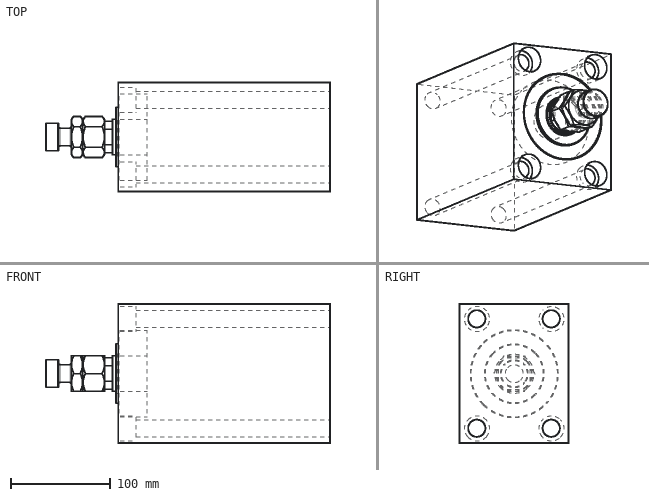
import cadquery as cq
import math

TOTAL_LENGTH = 286.0
WIDTH = 110.0
HEIGHT = 140.0

HEAD_END = 13.0
FRONT_HEX_START = 25.5
HEX_GROOVE = 37.2
ROD_FACE = 59.2
FLATS_END = 66.5
GLAND_FACE = 70.0
HOUSING_FACE = 72.6

BORE_CHAMFER = 1.0
BOLT_SPACING_Y = 75.0
BOLT_SPACING_Z = 110.0
BOLT_HOLE_DIAMETER = 17.2
COUNTERBORE_DIAMETER = 25.2
COUNTERBORE_DEPTH = 18.0

GLAND_DIAMETER = 87.0
GLAND_DEPTH = 28.5
COLLAR_DIAMETER = 60.0
COLLAR_CHAMFER = 1.0
WIPER_RECESS_DIAMETER = 39.5
WIPER_RECESS_DEPTH = 1.5

ROD_DIAMETER = 36.0
ROD_CHAMFER = 0.5
ROD_END_DIAMETER = 35.5
ROD_FLATS_WIDTH = 32.0

HEAD_DIAMETER = 28.0
HEAD_FRONT_CHAMFER = 0.5
HEAD_REAR_CHAMFER = 1.0
NECK_DIAMETER = 18.0
NECK_FILLET = 1.5
HEX_ACROSS_FLATS = 36.0
HEX_FACE_DIAMETER = 35.2
HEX_CHAMFER_LENGTH = 2.5

GLAND_END = HOUSING_FACE + GLAND_DEPTH


def cylinder(diameter, start, end):
    """Round bar on the X axis from X = start to X = end."""
    return cq.Workplane("YZ", origin=(start, 0, 0)).circle(diameter / 2).extrude(end - start)


def make_housing():
    """Rectangular block with a gland recess and four counterbored bolt holes."""
    length = TOTAL_LENGTH - HOUSING_FACE
    block = cq.Workplane("XY").box(length, WIDTH, HEIGHT).translate((HOUSING_FACE + length / 2, 0, 0))
    block = block.cut(cylinder(GLAND_DIAMETER, HOUSING_FACE, GLAND_END))
    block = block.faces("<X").edges("%CIRCLE").chamfer(BORE_CHAMFER)
    front_plane = cq.Workplane("YZ", origin=(HOUSING_FACE, 0, 0))
    bolt_centers = front_plane.rarray(BOLT_SPACING_Y, BOLT_SPACING_Z, 2, 2)
    through_holes = bolt_centers.circle(BOLT_HOLE_DIAMETER / 2).extrude(length)
    counterbores = bolt_centers.circle(COUNTERBORE_DIAMETER / 2).extrude(COUNTERBORE_DEPTH)
    return block.cut(through_holes).cut(counterbores)


def make_gland():
    """Stepped bush flush with the housing face, its collar standing proud around the rod."""
    collar = cylinder(COLLAR_DIAMETER, GLAND_FACE, HOUSING_FACE).faces("<X").edges().chamfer(COLLAR_CHAMFER)
    gland = cylinder(GLAND_DIAMETER, HOUSING_FACE, GLAND_END).union(collar)
    wiper_recess = cylinder(WIPER_RECESS_DIAMETER, GLAND_FACE, GLAND_FACE + WIPER_RECESS_DEPTH)
    return gland.cut(wiper_recess).cut(cylinder(ROD_DIAMETER, GLAND_FACE, GLAND_END))


def make_rod():
    """Piston rod whose slightly thinner end carries four wrench flats."""
    shaft = cylinder(ROD_DIAMETER, FLATS_END, GLAND_END).faces("<X").edges().chamfer(ROD_CHAMFER)
    flats_length = FLATS_END - ROD_FACE
    square = (
        cq.Workplane("YZ", origin=(ROD_FACE, 0, 0))
        .rect(ROD_FLATS_WIDTH, ROD_FLATS_WIDTH)
        .extrude(flats_length)
    )
    return shaft.union(cylinder(ROD_END_DIAMETER, ROD_FACE, FLATS_END).intersect(square))


def make_hexagon(start, end):
    """Hexagon with flats facing up and down, its corners turned down conically at both ends."""
    corner_diameter = HEX_ACROSS_FLATS / math.cos(math.pi / 6)
    prism = cq.Workplane("YZ", origin=(start, 0, 0)).polygon(6, corner_diameter).extrude(end - start)
    face_radius = HEX_FACE_DIAMETER / 2
    corner_radius = corner_diameter / 2
    turned_blank = (
        cq.Workplane("XY")
        .moveTo(start, 0)
        .lineTo(start, face_radius)
        .lineTo(start + HEX_CHAMFER_LENGTH, corner_radius)
        .lineTo(end - HEX_CHAMFER_LENGTH, corner_radius)
        .lineTo(end, face_radius)
        .lineTo(end, 0)
        .close()
        .revolve(360, (0, 0, 0), (1, 0, 0))
    )
    return prism.intersect(turned_blank)


def make_coupling():
    """Mushroom head on a filleted neck, followed by two hexagons that end on the rod face."""
    head_radius = HEAD_DIAMETER / 2
    neck_radius = NECK_DIAMETER / 2
    fillet_offset = NECK_FILLET * (1 - math.sqrt(0.5))
    head_and_neck = (
        cq.Workplane("XY")
        .lineTo(0, head_radius - HEAD_FRONT_CHAMFER)
        .lineTo(HEAD_FRONT_CHAMFER, head_radius)
        .lineTo(HEAD_END - HEAD_REAR_CHAMFER, head_radius)
        .lineTo(HEAD_END, head_radius - HEAD_REAR_CHAMFER)
        .lineTo(HEAD_END, neck_radius + NECK_FILLET)
        .threePointArc(
            (HEAD_END + fillet_offset, neck_radius + fillet_offset),
            (HEAD_END + NECK_FILLET, neck_radius),
        )
        .lineTo(FRONT_HEX_START - NECK_FILLET, neck_radius)
        .threePointArc(
            (FRONT_HEX_START - fillet_offset, neck_radius + fillet_offset),
            (FRONT_HEX_START, neck_radius + NECK_FILLET),
        )
        .lineTo(FRONT_HEX_START, 0)
        .close()
        .revolve(360, (0, 0, 0), (1, 0, 0))
    )
    front_hexagon = make_hexagon(FRONT_HEX_START, HEX_GROOVE)
    rear_hexagon = make_hexagon(HEX_GROOVE, ROD_FACE)
    return head_and_neck.union(front_hexagon).union(rear_hexagon)


housing = make_housing()
gland = make_gland()
rod = make_rod()
coupling = make_coupling()

result = cq.Compound.makeCompound([housing.val(), gland.val(), rod.val(), coupling.val()])